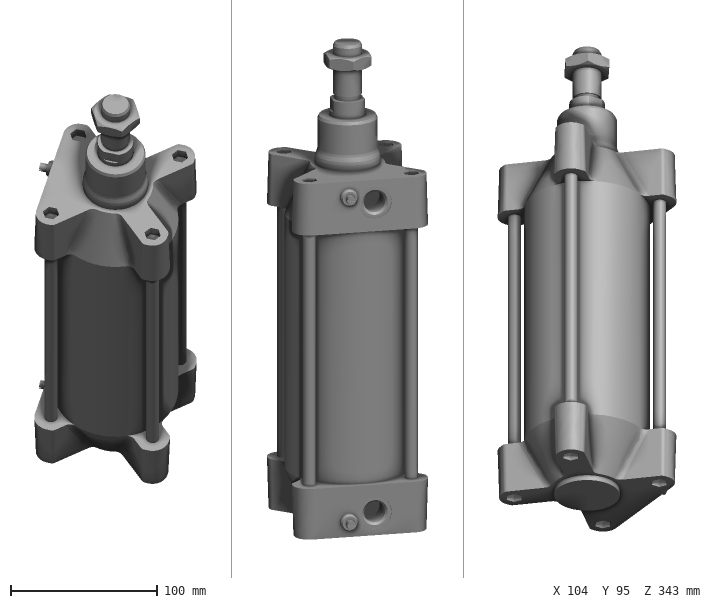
import cadquery as cq
import math

TOTAL_LENGTH = 343.0
REAR_BOSS_LENGTH = 3.8
CAP_LENGTH = 36.5
HEAD_TOP = 257.2
REAR_CAP_TOP = REAR_BOSS_LENGTH + CAP_LENGTH
HEAD_BOTTOM = HEAD_TOP - CAP_LENGTH

BARREL_DIAMETER = 86.0
TIE_ROD_DIAMETER = 9.0
TIE_ROD_SPACING = 72.0
TIE_ROD_OFFSET = TIE_ROD_SPACING / 2

CAP_WIDTH = 95.0
CAP_HALF_WIDTH = CAP_WIDTH / 2
CAP_DRAFT = 1.7
ARM_HALF_WIDTH = 11.3
VALLEY_POINT = ARM_HALF_WIDTH * math.sqrt(2)
ARM_TURN = CAP_HALF_WIDTH - VALLEY_POINT
CORNER_RADIUS = CAP_HALF_WIDTH - TIE_ROD_OFFSET
ARM_EDGE_RADIUS = 4.0
CONE_SMALL_RADIUS = 25.7
VALLEY_FILLET = 5.0
SOCKET_ACROSS_FLATS = 10.0
SOCKET_DEPTH = 7.0

PORT_Y = -8.0
PORT_INSET = 16.0
PORT_DIAMETER = 14.7
PORT_MOUTH_DIAMETER = 18.0
PORT_SPOTFACE_DIAMETER = 23.0
PORT_SPOTFACE_X = 46.3
PORT_DEPTH = 17.0
SCREW_Y = 11.0
SCREW_INSET = 11.0
OVERALL_WIDTH = 104.0
SCREW_TIP_X = OVERALL_WIDTH - CAP_HALF_WIDTH
SCREW_DIAMETER = 6.0
SCREW_COLLAR_DIAMETER = 12.0
SCREW_COLLAR_X = 50.8
SCREW_COLLAR_FACE_DIAMETER = 10.0
SCREW_COLLAR_TAPER_LENGTH = 1.7
SCREW_ROOT_X = 43.0
SLOT_WIDTH = 1.5
SLOT_DEPTH = 1.7

GUIDE_TOP = 291.5
GUIDE_DIAMETER = 41.0
FLANGE_DIAMETER = 45.0
GUIDE_CHAMFER_WIDTH = 1.0
GUIDE_CHAMFER_HEIGHT = 2.0
BORE_MOUTH_DIAMETER = 25.0
BORE_MOUTH_DEPTH = 1.7
GUIDE_SLEEVE_BOTTOM = 268.2
GUIDE_SHOULDER_TOP_DIAMETER = 42.0
GUIDE_SHOULDER_BOTTOM_DIAMETER = 44.2
GUIDE_SHOULDER_TOP = 266.5
GUIDE_SHOULDER_BOTTOM = 263.5
FLANGE_TOP = 261.5

ROD_DIAMETER = 24.5
ROD_SHOULDER = 303.2
ROD_FLATS = 22.0
ROD_FLATS_BOTTOM = 295.0
NECK_DIAMETER = 18.0
NECK_TOP = 306.5
THREAD_DIAMETER = 20.0
THREAD_CHAMFER_WIDTH = 1.0
THREAD_CHAMFER_HEIGHT = 2.0

NUT_BOTTOM = 326.2
NUT_HEIGHT = 9.0
NUT_ACROSS_FLATS = 30.0
NUT_FACE_DIAMETER = 29.0
NUT_CHAMFER_ANGLE = 30.0


def hexagon_corner_radius(across_flats):
    """Distance from the centre of a hexagon to its corners."""
    return across_flats / math.sqrt(3)


def turned(profile):
    """Solid of revolution about Z from (radius, height) points."""
    return cq.Workplane("XZ").polyline(profile).close().revolve(360, (0, 0), (0, 1))


def cylinder_between(diameter, bottom, top):
    """Round bar on the Z axis between two heights."""
    return cq.Workplane("XY", origin=(0, 0, bottom)).circle(diameter / 2).extrude(top - bottom)


def side_cylinder(diameter, x_start, x_end, y, z):
    """Round bar along X between two stations."""
    bar = cq.Workplane("YZ", origin=(x_start, y, z)).circle(diameter / 2)
    return bar.extrude(x_end - x_start)


def side_cone(start_diameter, end_diameter, x_start, x_end, y, z):
    """Truncated cone along X between two stations."""
    base = cq.Vector(x_start, y, z)
    along_x = cq.Vector(1, 0, 0)
    cone = cq.Solid.makeCone(start_diameter / 2, end_diameter / 2, x_end - x_start, base, along_x)
    return cq.Workplane(cone)


def cap_outline():
    """Arms at the four corners, joined into a flat side at -X; full size at the barrel end."""
    edge = CAP_HALF_WIDTH
    rod = TIE_ROD_OFFSET
    valley = VALLEY_POINT
    turn = ARM_TURN
    mid = rod + CORNER_RADIUS * math.sqrt(0.5)
    return (
        cq.Workplane("XY")
        .moveTo(-edge, rod)
        .threePointArc((-mid, mid), (-rod, edge))
        .lineTo(-turn, edge)
        .lineTo(0, valley)
        .lineTo(turn, edge)
        .lineTo(rod, edge)
        .threePointArc((mid, mid), (edge, rod))
        .lineTo(edge, turn)
        .lineTo(valley, 0)
        .lineTo(edge, -turn)
        .lineTo(edge, -rod)
        .threePointArc((mid, -mid), (rod, -edge))
        .lineTo(turn, -edge)
        .lineTo(0, -valley)
        .lineTo(-turn, -edge)
        .lineTo(-rod, -edge)
        .threePointArc((-mid, -mid), (-edge, -rod))
        .close()
    )


def cap_blank():
    """Cap body standing on its barrel end: four drafted arms around a cone."""
    arms = cap_outline().extrude(CAP_LENGTH, taper=CAP_DRAFT)
    arm_edges = [(x * ARM_TURN, y * CAP_HALF_WIDTH) for x in (-1, 1) for y in (-1, 1)]
    arm_edges += [(CAP_HALF_WIDTH, y * ARM_TURN) for y in (-1, 1)]
    for x, y in arm_edges:
        nearest = cq.selectors.NearestToPointSelector((x, y, CAP_LENGTH / 2))
        arms = arms.edges(nearest).fillet(ARM_EDGE_RADIUS)
    cone = cq.Solid.makeCone(BARREL_DIAMETER / 2, CONE_SMALL_RADIUS, CAP_LENGTH)
    blank = arms.union(cq.Workplane(cone))
    return blank.edges("%HYPERBOLA").fillet(VALLEY_FILLET)


def port_cutter(z):
    """Blind port hole with a countersunk mouth in a shallow spot face."""
    seat = -PORT_SPOTFACE_X
    spot = side_cylinder(PORT_SPOTFACE_DIAMETER, -CAP_HALF_WIDTH, seat, PORT_Y, z)
    countersink = (PORT_MOUTH_DIAMETER - PORT_DIAMETER) / 2
    hole = side_cylinder(PORT_DIAMETER, seat, seat + PORT_DEPTH, PORT_Y, z)
    mouth = side_cone(PORT_MOUTH_DIAMETER, PORT_DIAMETER, seat, seat + countersink, PORT_Y, z)
    return hole.union(mouth).union(spot)


def cushion_screw(z):
    """Slotted adjusting screw with a tapered collar."""
    shank = side_cylinder(SCREW_DIAMETER, -SCREW_TIP_X, -SCREW_ROOT_X, SCREW_Y, z)
    slot = cq.Workplane().box(2 * SLOT_DEPTH, SCREW_DIAMETER, SLOT_WIDTH)
    shank = shank.cut(slot.translate((-SCREW_TIP_X, SCREW_Y, z)))
    collar_edge = -SCREW_COLLAR_X + SCREW_COLLAR_TAPER_LENGTH
    collar = side_cylinder(SCREW_COLLAR_DIAMETER, collar_edge, -SCREW_ROOT_X, SCREW_Y, z)
    taper = side_cone(
        SCREW_COLLAR_FACE_DIAMETER, SCREW_COLLAR_DIAMETER, -SCREW_COLLAR_X, collar_edge, SCREW_Y, z
    )
    return shank.union(collar).union(taper)


def end_cap():
    """Finished cap with its barrel end at Z = 0 and its outer face at Z = CAP_LENGTH."""
    sockets = (
        cq.Workplane("XY", origin=(0, 0, CAP_LENGTH - SOCKET_DEPTH))
        .rect(TIE_ROD_SPACING, TIE_ROD_SPACING, forConstruction=True)
        .vertices()
        .polygon(6, 2 * hexagon_corner_radius(SOCKET_ACROSS_FLATS))
        .extrude(SOCKET_DEPTH)
    )
    cap = cap_blank().cut(sockets).cut(port_cutter(CAP_LENGTH - PORT_INSET))
    return cap.union(cushion_screw(CAP_LENGTH - SCREW_INSET))


def rod_guide():
    """Turned guide on the head: a flange, a conical step and a chamfered sleeve."""
    sleeve = GUIDE_DIAMETER / 2
    flange = FLANGE_DIAMETER / 2
    profile = [
        (0, HEAD_TOP),
        (flange, HEAD_TOP),
        (flange, FLANGE_TOP),
        (GUIDE_SHOULDER_BOTTOM_DIAMETER / 2, GUIDE_SHOULDER_BOTTOM),
        (GUIDE_SHOULDER_TOP_DIAMETER / 2, GUIDE_SHOULDER_TOP),
        (sleeve, GUIDE_SLEEVE_BOTTOM),
        (sleeve, GUIDE_TOP - GUIDE_CHAMFER_HEIGHT),
        (sleeve - GUIDE_CHAMFER_WIDTH, GUIDE_TOP),
        (0, GUIDE_TOP),
    ]
    return turned(profile)


def make_housing():
    """Barrel, tie rods, both caps and the rod guide, bored for the piston rod."""
    cap = end_cap()
    head = cap.translate((0, 0, HEAD_BOTTOM))
    rear = cap.mirror("XY").translate((0, 0, REAR_CAP_TOP))
    barrel = cylinder_between(BARREL_DIAMETER, REAR_CAP_TOP, HEAD_BOTTOM)
    tie_rods = (
        cq.Workplane("XY", origin=(0, 0, REAR_CAP_TOP))
        .rect(TIE_ROD_SPACING, TIE_ROD_SPACING, forConstruction=True)
        .vertices()
        .circle(TIE_ROD_DIAMETER / 2)
        .extrude(HEAD_BOTTOM - REAR_CAP_TOP)
    )
    rear_boss = cylinder_between(FLANGE_DIAMETER, 0, REAR_BOSS_LENGTH)
    housing = barrel.union(tie_rods).union(head).union(rear).union(rear_boss).union(rod_guide())
    bore = cylinder_between(ROD_DIAMETER, HEAD_BOTTOM, GUIDE_TOP)
    mouth = cylinder_between(BORE_MOUTH_DIAMETER, GUIDE_TOP - BORE_MOUTH_DEPTH, GUIDE_TOP)
    return housing.cut(bore).cut(mouth)


def make_piston_rod():
    """Rod with two wrench flats, an undercut neck and a plain cylindrical end for the nut."""
    body = cylinder_between(ROD_DIAMETER, HEAD_BOTTOM, ROD_SHOULDER)
    flat_height = ROD_SHOULDER - ROD_FLATS_BOTTOM
    for side in (-1, 1):
        flat = cq.Workplane("XY", origin=(0, side * (ROD_FLATS + ROD_DIAMETER) / 2, ROD_FLATS_BOTTOM))
        body = body.cut(flat.rect(ROD_DIAMETER, ROD_DIAMETER).extrude(flat_height))
    neck = cylinder_between(NECK_DIAMETER, ROD_SHOULDER, NECK_TOP)
    thread = turned([
        (0, NECK_TOP),
        (THREAD_DIAMETER / 2, NECK_TOP),
        (THREAD_DIAMETER / 2, TOTAL_LENGTH - THREAD_CHAMFER_HEIGHT),
        (THREAD_DIAMETER / 2 - THREAD_CHAMFER_WIDTH, TOTAL_LENGTH),
        (0, TOTAL_LENGTH),
    ])
    return body.union(neck).union(thread)


def make_nut():
    """Hexagon nut, corners on the X axis, with both ends rounded off by cones."""
    corner = hexagon_corner_radius(NUT_ACROSS_FLATS)
    blank = (
        cq.Workplane("XY", origin=(0, 0, NUT_BOTTOM))
        .polygon(6, 2 * corner)
        .extrude(NUT_HEIGHT)
    )
    face = NUT_FACE_DIAMETER / 2
    drop = (corner - face) * math.tan(math.radians(NUT_CHAMFER_ANGLE))
    top = NUT_BOTTOM + NUT_HEIGHT
    profile = [
        (0, NUT_BOTTOM),
        (face, NUT_BOTTOM),
        (corner, NUT_BOTTOM + drop),
        (corner, top - drop),
        (face, top),
        (0, top),
    ]
    envelope = turned(profile)
    return blank.intersect(envelope).cut(cylinder_between(THREAD_DIAMETER, NUT_BOTTOM, top))


housing = make_housing()
piston_rod = make_piston_rod()
nut = make_nut()

result = cq.Compound.makeCompound([housing.val(), piston_rod.val(), nut.val()])